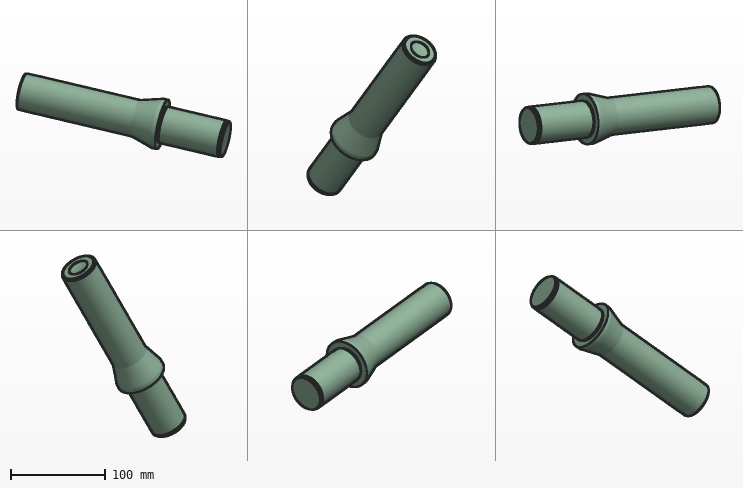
import cadquery as cq

length = 227.0
shaft_radius = 40.0 / 2
lead_relief = 0.11
lead_radius = shaft_radius - lead_relief
collar_radius = 54.0 / 2

face_radius = 17.7
face_chamfer_length = 0.7
face_chamfer_radius = 19.5
lead_start_x = 1.5
lead_end_x = 10.2
lead_blend_end_x = 12.3

cone_start_x = 127.5
cone_end_x = 151.6
collar_back_x = 156.5
cone_blend_radius = 4.5

selection_margin = 0.2

groove_radius = 19.5
groove_width = 2.0
groove_slope_length = 0.7

tail_step_x = 223.3
tail_start_x = 223.8
tail_radius = 39.5 / 2
tail_chamfer_length = 1.4
tail_chamfer_depth = 1.0

plug_radius = 10.5
plug_depth = 11.3
bore_mouth_chamfer = 0.5

dish_radius = 7.3
dish_step_radius = 5.5
dish_step_depth = 0.5
floor_radius = 1.8
floor_depth = 0.7

def revolve_profile(points):
    """Turn a closed outline of (X, radius) points about the X axis."""
    return cq.Workplane("XY").polyline(points).close().revolve(360, (0, 0, 0), (1, 0, 0))

def ring_edge_at(x, radius):
    """Select the circular edge of the given radius centred on the axis at x."""
    reach = radius + selection_margin
    return cq.selectors.BoxSelector(
        (x - selection_margin, -reach, -reach),
        (x + selection_margin, reach, reach),
        boundingbox=True,
    )

def make_pillar():
    groove_end_x = collar_back_x + groove_width
    outer = revolve_profile([
        (0, 0),
        (0, face_radius),
        (face_chamfer_length, face_chamfer_radius),
        (lead_start_x, lead_radius),
        (lead_end_x, lead_radius),
        (lead_blend_end_x, shaft_radius),
        (cone_start_x, shaft_radius),
        (cone_end_x, collar_radius),
        (collar_back_x, collar_radius),
        (collar_back_x, groove_radius),
        (groove_end_x - groove_slope_length, groove_radius),
        (groove_end_x, shaft_radius),
        (tail_step_x, shaft_radius),
        (tail_start_x, tail_radius),
        (length - tail_chamfer_length, tail_radius),
        (length, tail_radius - tail_chamfer_depth),
        (length, 0),
    ])
    outer = outer.edges(ring_edge_at(cone_start_x, shaft_radius)).fillet(cone_blend_radius)
    outer = outer.edges(ring_edge_at(cone_end_x, collar_radius)).fillet(cone_blend_radius)

    bore = revolve_profile([
        (0, 0),
        (0, plug_radius + bore_mouth_chamfer),
        (bore_mouth_chamfer, plug_radius),
        (plug_depth, plug_radius),
        (plug_depth, 0),
    ])
    return outer.cut(bore)

def make_plug():
    return revolve_profile([
        (0, dish_radius),
        (0, plug_radius),
        (plug_depth, plug_radius),
        (plug_depth, 0),
        (floor_depth, 0),
        (floor_depth, floor_radius),
        (dish_step_depth, dish_step_radius),
    ])

pillar = make_pillar()
plug = make_plug()

result = cq.Compound.makeCompound([pillar.val(), plug.val()])